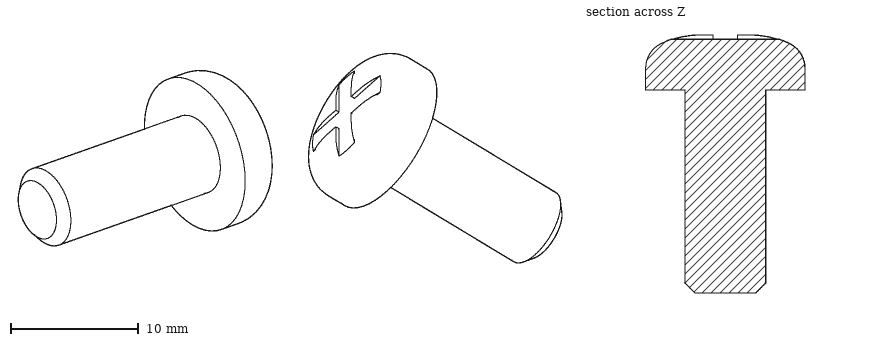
import cadquery as cq
import math


shank_radius = 6.35 / 2
shank_length = 15.875
tip_chamfer = 0.8

overall_length = 20.2
head_radius = 12.5 / 2
head_height = overall_length - shank_length
band_height = 1.7
flat_radius = 2.15
crown_radius = 6.55

slot_width = 1.9
slot_depth = 0.33


def on_circle(center, radius, angle):
    """Point of a circle in the XY plane, with the angle measured from +X."""
    return (
        center[0] + radius * math.cos(angle),
        center[1] + radius * math.sin(angle),
    )


def make_body():
    """Revolved head and shank, without the cross slot."""
    crown_center = (flat_radius, head_height - crown_radius)
    radial_room = head_radius - flat_radius
    center_rise = band_height - crown_center[1]
    shoulder_radius = (crown_radius**2 - radial_room**2 - center_rise**2) / (
        2 * (crown_radius - radial_room)
    )
    shoulder_center = (head_radius - shoulder_radius, band_height)
    tangent_angle = math.atan2(center_rise, radial_room - shoulder_radius)
    top_angle = math.pi / 2

    shoulder_middle = on_circle(shoulder_center, shoulder_radius, tangent_angle / 2)
    shoulder_end = on_circle(shoulder_center, shoulder_radius, tangent_angle)
    crown_middle = on_circle(crown_center, crown_radius, (tangent_angle + top_angle) / 2)
    crown_end = (flat_radius, head_height)

    profile = (
        cq.Workplane("XY")
        .moveTo(0, -shank_length)
        .lineTo(shank_radius - tip_chamfer, -shank_length)
        .lineTo(shank_radius, tip_chamfer - shank_length)
        .lineTo(shank_radius, 0)
        .lineTo(head_radius, 0)
        .lineTo(head_radius, band_height)
        .threePointArc(shoulder_middle, shoulder_end)
        .threePointArc(crown_middle, crown_end)
        .lineTo(0, head_height)
        .close()
    )
    return profile.revolve(360, (0, 0), (0, 1))


def make_cross_slot():
    """Two crossing flat-bottomed slots that run out through the crown."""
    slot_length = 2 * head_radius
    slot_middle = head_height - slot_depth / 2
    along_x = cq.Workplane("XY").box(slot_length, slot_depth, slot_width)
    along_z = cq.Workplane("XY").box(slot_width, slot_depth, slot_length)
    return along_x.union(along_z).translate((0, slot_middle, 0))


result = make_body().cut(make_cross_slot())